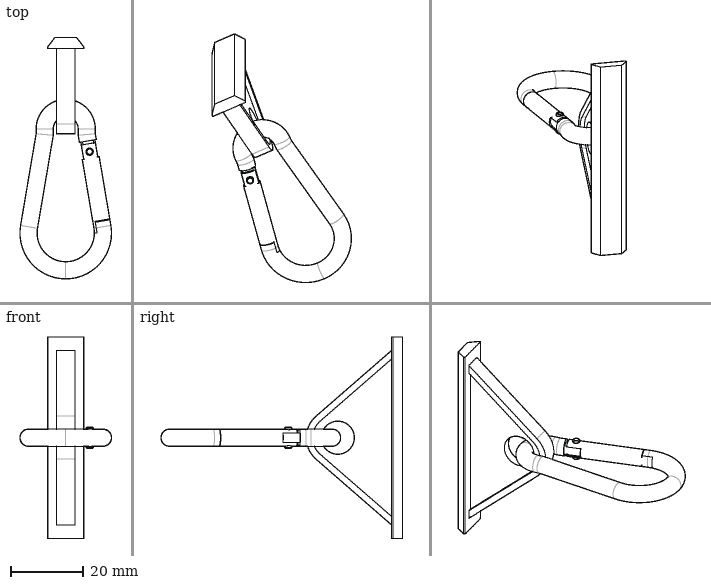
import cadquery as cq
import math


BASE_HEIGHT = 56.0
BASE_WIDTH = 10.05
BASE_BACK_WIDTH = 6.05
BASE_THICKNESS = 3.1
BASE_LAND = 0.5

GUSSET_HALF_HEIGHT = 24.2
GUSSET_WIDTH = 5.2
NOSE_RADIUS = 7.9
NOSE_CENTER_Y = -18.85
RIM_WALL = 1.8
WEB_RECESS = 1.2
EYE_RADIUS = 4.55
EYE_Y = -18.0

ROD_RADIUS = 2.4
OVERALL_LENGTH = 67.1
OVERALL_WIDTH = 25.5
TOP_BEND_RADIUS = 5.85
TOP_BEND_Y = -25.4
SHOULDER_Y = -27.0
BOTTOM_BEND_RADIUS = OVERALL_WIDTH / 2 - ROD_RADIUS
BOTTOM_BEND_Y = OVERALL_WIDTH / 2 - OVERALL_LENGTH

NECK_START = 1.8
GATE_START = 2.6
PIN_POSITION = 4.8
SLOT_LENGTH = 4.0
GATE_END = 24.2
LIP_END = 27.4
LIP_OFFSET = 1.75
END_CLEARANCE = 0.15
TONGUE_THICKNESS = 2.7
TONGUE_RADIUS = 2.0
PIN_RADIUS = 1.0
PIN_LENGTH = 6.0
PIN_CHAMFER = 0.3

shoulder_drop = SHOULDER_Y - BOTTOM_BEND_Y
center_angle = math.atan2(shoulder_drop, TOP_BEND_RADIUS)
tangent_angle = math.acos(BOTTOM_BEND_RADIUS / math.hypot(TOP_BEND_RADIUS, shoulder_drop))
leg_tilt = center_angle - tangent_angle

leg_plane = cq.Plane(
    origin=(TOP_BEND_RADIUS, SHOULDER_Y, 0),
    xDir=(math.sin(leg_tilt), -math.cos(leg_tilt), 0),
    normal=(0, 0, 1),
)
CUT_SIZE = 4 * ROD_RADIUS


def make_base():
    half_width = BASE_WIDTH / 2
    half_back = BASE_BACK_WIDTH / 2
    land_y = BASE_LAND - BASE_THICKNESS
    section = [
        (-half_back, 0),
        (half_back, 0),
        (half_width, land_y),
        (half_width, -BASE_THICKNESS),
        (-half_width, -BASE_THICKNESS),
        (-half_width, land_y),
    ]
    return cq.Workplane("XY").polyline(section).close().extrude(BASE_HEIGHT / 2, both=True)


def gusset_profile(inset, x_start, depth):
    """Triangle with a rounded nose, moved inward by inset and extruded along +X."""
    corner_y = -BASE_THICKNESS - NOSE_CENTER_Y
    corner_distance = math.hypot(corner_y, GUSSET_HALF_HEIGHT)
    normal_angle = math.atan2(GUSSET_HALF_HEIGHT, -corner_y) - math.acos(NOSE_RADIUS / corner_distance)
    radius = NOSE_RADIUS - inset
    tangent_y = NOSE_CENTER_Y - radius * math.cos(normal_angle)
    tangent_z = radius * math.sin(normal_angle)
    root_z = GUSSET_HALF_HEIGHT - inset / math.sin(normal_angle)
    return (
        cq.Workplane("YZ", origin=(x_start, 0, 0))
        .moveTo(-BASE_THICKNESS, root_z)
        .lineTo(tangent_y, tangent_z)
        .threePointArc((NOSE_CENTER_Y - radius, 0), (tangent_y, -tangent_z))
        .lineTo(-BASE_THICKNESS, -root_z)
        .close()
        .extrude(depth)
    )


def make_bracket():
    half_width = GUSSET_WIDTH / 2
    gusset = gusset_profile(0, -half_width, GUSSET_WIDTH)
    for recess_start in (-half_width, half_width - WEB_RECESS):
        gusset = gusset.cut(gusset_profile(RIM_WALL, recess_start, WEB_RECESS))
    eye = cq.Workplane("YZ").center(EYE_Y, 0).circle(EYE_RADIUS).extrude(half_width, both=True)
    return make_base().union(gusset.cut(eye))


def make_rod_loop():
    """Closed pear-shaped rod, from which the hook and the gate are cut."""
    tangent_x = BOTTOM_BEND_RADIUS * math.cos(leg_tilt)
    tangent_y = BOTTOM_BEND_Y + BOTTOM_BEND_RADIUS * math.sin(leg_tilt)
    path = (
        cq.Workplane("XY")
        .moveTo(0, BOTTOM_BEND_Y - BOTTOM_BEND_RADIUS)
        .radiusArc((tangent_x, tangent_y), -BOTTOM_BEND_RADIUS)
        .lineTo(TOP_BEND_RADIUS, SHOULDER_Y)
        .lineTo(TOP_BEND_RADIUS, TOP_BEND_Y)
        .radiusArc((0, TOP_BEND_Y + TOP_BEND_RADIUS), -TOP_BEND_RADIUS)
    )
    half_loop = (
        cq.Workplane("YZ", origin=(0, BOTTOM_BEND_Y - BOTTOM_BEND_RADIUS, 0))
        .circle(ROD_RADIUS)
        .sweep(path, transition="right")
    )
    return half_loop.union(half_loop.mirror("YZ"))


def leg_block(start, end, outer_offset=CUT_SIZE / 2, thickness=CUT_SIZE):
    """Block across the gate leg, from its inner side out to outer_offset from the axis."""
    inner_offset = -CUT_SIZE / 2
    return (
        cq.Workplane(leg_plane)
        .center((start + end) / 2, (inner_offset + outer_offset) / 2)
        .rect(end - start, outer_offset - inner_offset)
        .extrude(thickness / 2, both=True)
    )


def gate_space(start, clearance):
    """Room for the gate: the full rod section plus a lip along the inner side."""
    full = leg_block(start, GATE_END + clearance)
    lip = leg_block(start, LIP_END, -LIP_OFFSET)
    return full.union(lip)


def make_pin():
    return (
        cq.Workplane(leg_plane)
        .center(PIN_POSITION, 0)
        .circle(PIN_RADIUS)
        .extrude(PIN_LENGTH / 2, both=True)
        .faces("|Z")
        .chamfer(PIN_CHAMFER)
    )


def make_slot():
    """Flat slot through the gate, open at its end, for the tongue of the hook."""
    return leg_block(NECK_START, GATE_START + SLOT_LENGTH, thickness=TONGUE_THICKNESS)


def make_tongue():
    """Tongue of the hook: a thinner rod flattened to fit the slot."""
    length = GATE_START + SLOT_LENGTH - NECK_START
    thin_rod = (
        cq.Workplane(leg_plane)
        .transformed(rotate=(0, 90, 0), offset=(NECK_START, 0, 0))
        .circle(TONGUE_RADIUS)
        .extrude(length)
    )
    return thin_rod.intersect(make_slot())


def make_hook(rod_loop):
    body = rod_loop.cut(gate_space(NECK_START, END_CLEARANCE))
    return body.union(make_tongue()).cut(make_pin())


def make_gate(rod_loop):
    body = rod_loop.intersect(gate_space(GATE_START, 0)).cut(make_slot())
    return body.union(make_pin())


rod_loop = make_rod_loop()
bracket = make_bracket()
hook = make_hook(rod_loop)
gate = make_gate(rod_loop)

result = cq.Compound.makeCompound([bracket.val(), hook.val(), gate.val()])